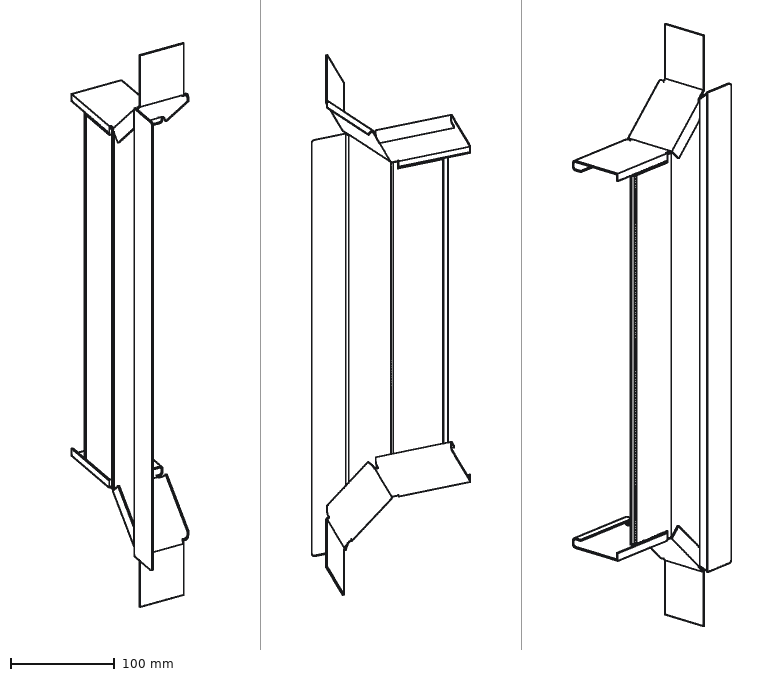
import cadquery as cq
import math

WIDTH = 163.0
DEPTH = 61.5
HEIGHT = 608.0
SHEET = 1.5

LEFT = -WIDTH / 2
RIGHT = WIDTH / 2
FRONT = -DEPTH / 2
BACK = DEPTH / 2
TOP = HEIGHT / 2

FLANGE_FACE = FRONT
LEFT_FACE = -27.0
BEHIND_FACE = LEFT_FACE + SHEET

STRIP_LEFT = -59.5
STRIP_WIDTH = 4.0
STEP_RUN = 2.0
JOGGLE_START = 41.5
JOGGLE_END = 47.0
MIDDLE_LEFT = -1.0
NOTCH_RIGHT = -8.0
NOTCH_TOP = 190.0
FLANGE_TOP = 247.0
CORNER_RADIUS = 3.0

BEND_X = -2.0
SHELF_TOP = 199.5
TAB_LEFT = 47.0
ARM_RISE = TAB_LEFT - BEND_X
TAB_FRONT = -25.0
TAB_BACK = 24.0
BEND_SHIFT = SHEET * math.tan(math.radians(22.5))

SHELF_FLANGE = 8.0
SHELF_FLANGE_END = -8.5
SHELF_END = -5.0
ARM_FLANGE = 14.5
ARM_FLANGE_END = 39.5
ARM_LIP_END = 45.0
LIP_HEIGHT = 10.5
LIP_RETURN = 10.5
LIP_RADIUS = 3.5


def make_panel():
    """Stepped upright sheet with its ends cut to the outline of the brackets."""
    strip_right = STRIP_LEFT + STRIP_WIDTH
    face = [
        (STRIP_LEFT, BEHIND_FACE),
        (strip_right, BEHIND_FACE),
        (strip_right + STEP_RUN, LEFT_FACE),
        (MIDDLE_LEFT - STEP_RUN, LEFT_FACE),
        (MIDDLE_LEFT, BEHIND_FACE),
        (JOGGLE_START, BEHIND_FACE),
        (JOGGLE_END, FLANGE_FACE),
        (RIGHT, FLANGE_FACE),
    ]
    rear = [(x, y + SHEET) for x, y in reversed(face)]
    sheet = cq.Workplane("XY").polyline(face + rear).close().extrude(TOP, both=True)

    inner_bend_x = BEND_X + BEND_SHIFT
    shelf_underside = SHELF_TOP - SHEET
    upper_edge = [
        (STRIP_LEFT, NOTCH_TOP),
        (NOTCH_RIGHT, NOTCH_TOP),
        (NOTCH_RIGHT, shelf_underside),
        (inner_bend_x, shelf_underside),
        (JOGGLE_END, shelf_underside + JOGGLE_END - inner_bend_x),
        (JOGGLE_END, FLANGE_TOP),
        (RIGHT, FLANGE_TOP),
    ]
    lower_edge = [(x, -z) for x, z in reversed(upper_edge)]
    outline = cq.Workplane("XZ").polyline(upper_edge + lower_edge).close().extrude(DEPTH, both=True)
    return sheet.intersect(outline).edges("|Y and >X").fillet(CORNER_RADIUS).solids()


def make_channel(plane, length, flange_height):
    """Sheet with a sharp front flange and a rounded back lip, both bent inward."""
    inner_radius = LIP_RADIUS - SHEET
    bend = BACK - LIP_RADIUS
    return (
        cq.Workplane(plane)
        .moveTo(LEFT_FACE, -flange_height)
        .lineTo(LEFT_FACE, 0)
        .lineTo(bend, 0)
        .radiusArc((BACK, -LIP_RADIUS), LIP_RADIUS)
        .lineTo(BACK, LIP_RADIUS - LIP_HEIGHT)
        .lineTo(BACK - SHEET, LIP_RADIUS - LIP_HEIGHT)
        .lineTo(BACK - SHEET, -LIP_RADIUS)
        .radiusArc((bend, -SHEET), -inner_radius)
        .lineTo(LEFT_FACE + SHEET, -SHEET)
        .lineTo(LEFT_FACE + SHEET, -flange_height)
        .close()
        .extrude(length)
    )


def make_hook(plane, length):
    """Rounded return that carries the edge of a back lip toward the front."""
    inner_radius = LIP_RADIUS - SHEET
    bend = BACK - LIP_RADIUS
    hook_tip = BACK - LIP_RETURN
    return (
        cq.Workplane(plane)
        .moveTo(BACK, LIP_RADIUS - LIP_HEIGHT)
        .radiusArc((bend, -LIP_HEIGHT), LIP_RADIUS)
        .lineTo(hook_tip, -LIP_HEIGHT)
        .lineTo(hook_tip, SHEET - LIP_HEIGHT)
        .lineTo(bend, SHEET - LIP_HEIGHT)
        .radiusArc((BACK - SHEET, LIP_RADIUS - LIP_HEIGHT), -inner_radius)
        .close()
        .extrude(length)
    )


def make_relief(x_start, y_start, y_end):
    """Block that clears everything right of x_start between two Y levels."""
    return cq.Workplane("XY").box(
        WIDTH, y_end - y_start, HEIGHT, centered=(False, False, False)
    ).translate((x_start, y_start, 0))


def make_shelf():
    """Horizontal channel whose lip has a return; its flange stops short of the bend."""
    plane = cq.Plane(origin=(LEFT, 0, SHELF_TOP), xDir=(0, 1, 0), normal=(1, 0, 0))
    length = SHELF_END - LEFT
    shelf = make_channel(plane, length, SHELF_FLANGE).union(make_hook(plane, length))
    return shelf.cut(make_relief(SHELF_FLANGE_END, FRONT, TAB_FRONT))


def make_arm():
    """Channel at 45 degrees, narrowed to the width of the tab at its upper end."""
    plane = cq.Plane(origin=(BEND_X, 0, SHELF_TOP), xDir=(0, 1, 0), normal=(1, 0, 1))
    arm = make_channel(plane, ARM_RISE * math.sqrt(2), ARM_FLANGE)
    front_relief = make_relief(ARM_FLANGE_END, FRONT, TAB_FRONT)
    back_relief = make_relief(ARM_LIP_END, TAB_BACK, BACK)
    return arm.cut(front_relief).cut(back_relief)


def make_web():
    """Bent strip that runs through shelf and arm and ends as the tab."""
    arm_top = SHELF_TOP + ARM_RISE
    outline = [
        (LEFT, SHELF_TOP),
        (BEND_X, SHELF_TOP),
        (TAB_LEFT, arm_top),
        (TAB_LEFT, TOP),
        (TAB_LEFT + SHEET, TOP),
        (TAB_LEFT + SHEET, arm_top - BEND_SHIFT),
        (BEND_X + BEND_SHIFT, SHELF_TOP - SHEET),
        (LEFT, SHELF_TOP - SHEET),
    ]
    plane = cq.Workplane("XZ", origin=(0, TAB_BACK, 0))
    return plane.polyline(outline).close().extrude(TAB_BACK - TAB_FRONT)


def make_bracket(side):
    """Upper bracket for side 1; its mirror image below the middle for side -1."""
    bracket = make_shelf().union(make_arm()).union(make_web()).solids()
    return bracket if side > 0 else bracket.mirror("XY").solids()


panel = make_panel()
brackets = [make_bracket(side) for side in (1, -1)]

result = cq.Compound.makeCompound([panel.val(), *[bracket.val() for bracket in brackets]])